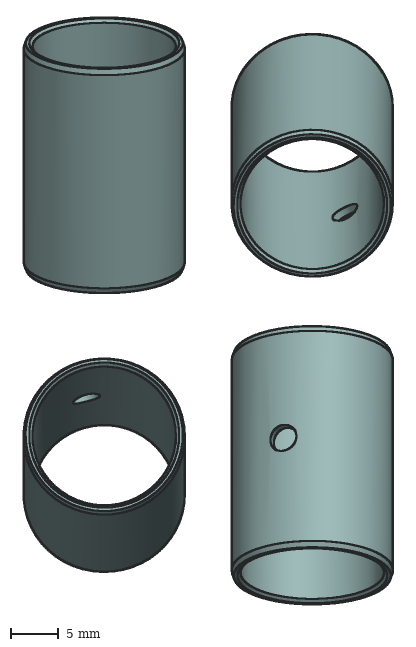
import cadquery as cq

length = 25.0
outer_diameter = 17.0
bore_diameter = 15.1

outer_chamfer_height = 0.62
outer_chamfer_depth = 0.22
bore_chamfer = 0.35

side_hole_diameter = 2.92

outer_radius = outer_diameter / 2
bore_radius = bore_diameter / 2
outer_rim_radius = outer_radius - outer_chamfer_depth
bore_rim_radius = bore_radius + bore_chamfer


def make_sleeve():
    """Revolve the wall section, with all four rims chamfered, about Z."""
    half_length = length / 2
    outer_shoulder = half_length - outer_chamfer_height
    bore_shoulder = half_length - bore_chamfer
    wall_section = [
        (bore_radius, -bore_shoulder),
        (bore_rim_radius, -half_length),
        (outer_rim_radius, -half_length),
        (outer_radius, -outer_shoulder),
        (outer_radius, outer_shoulder),
        (outer_rim_radius, half_length),
        (bore_rim_radius, half_length),
        (bore_radius, bore_shoulder),
    ]
    return cq.Workplane("XZ").polyline(wall_section).close().revolve(360, (0, 0), (0, 1))


def make_side_hole():
    """Cylinder from the sleeve axis out past the +Y wall."""
    return cq.Workplane("XZ").circle(side_hole_diameter / 2).extrude(-outer_diameter)


result = make_sleeve().cut(make_side_hole())